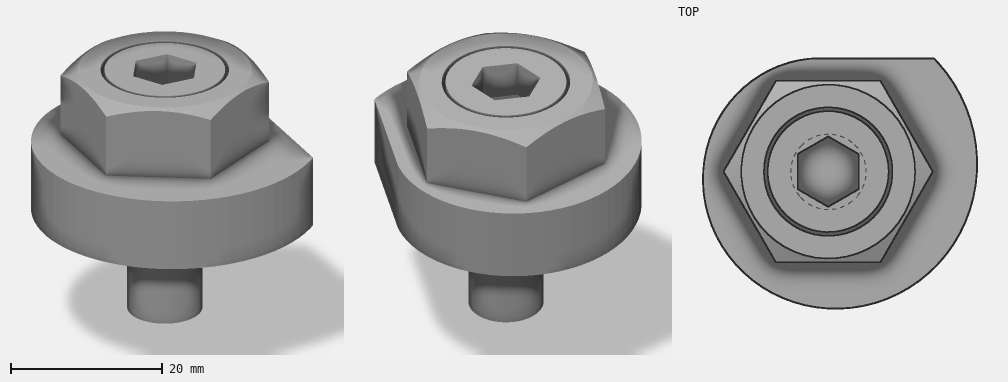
import cadquery as cq
import math


total_height = 35.0
shank_projection = 15.0
cam_height = 10.0
hex_height = total_height - shank_projection - cam_height
top_z = cam_height + hex_height

cam_start_radius = 15.0
cam_rise_per_turn = 6.28
facet_count = 72

hex_across_flats = 24.0
hex_corner_diameter = hex_across_flats / math.cos(math.radians(30))
hex_top_diameter = 23.02
hex_chamfer_angle = 30

shank_diameter = 10.0
head_diameter = 16.0
head_height = hex_height
head_clearance = 0.5
counterbore_diameter = head_diameter + 2 * head_clearance
socket_across_flats = 8.05
socket_corner_diameter = socket_across_flats / math.cos(math.radians(30))
socket_depth = 5.0


def cam_point(step):
    """Spiral corner, counted counterclockwise from +Y."""
    turn = step / facet_count
    radius = cam_start_radius + cam_rise_per_turn * turn
    angle = 2 * math.pi * turn
    return (-radius * math.sin(angle), radius * math.cos(angle))


def make_cam_plate():
    outline = [cam_point(step) for step in range(facet_count + 1)]
    plate = cq.Workplane("XY").polyline(outline).close().extrude(cam_height)
    reach = 2 * (cam_start_radius + cam_rise_per_turn)
    flat_cutter = cq.Workplane("XY").box(reach, reach, cam_height, centered=(True, False, False))
    return plate.cut(flat_cutter.translate((0, cam_start_radius, 0)))


def make_hex_grip():
    grip = (
        cq.Workplane("XY")
        .workplane(offset=cam_height)
        .polygon(6, hex_corner_diameter)
        .extrude(hex_height)
    )
    top_radius = hex_top_diameter / 2
    outer_radius = hex_corner_diameter
    cone_drop = (outer_radius - top_radius) * math.tan(math.radians(hex_chamfer_angle))
    bevel_envelope = (
        cq.Workplane("XZ")
        .polyline([
            (0, 0),
            (outer_radius, 0),
            (outer_radius, top_z - cone_drop),
            (top_radius, top_z),
            (0, top_z),
        ])
        .close()
        .revolve()
    )
    return grip.intersect(bevel_envelope)


def make_cam():
    body = make_cam_plate().union(make_hex_grip())
    return (
        body.faces(">Z")
        .workplane(origin=(0, 0, top_z))
        .cboreHole(shank_diameter, counterbore_diameter, head_height)
    )


def make_screw():
    shank_length = shank_projection + cam_height
    shank = (
        cq.Workplane("XY")
        .workplane(offset=-shank_projection)
        .circle(shank_diameter / 2)
        .extrude(shank_length)
    )
    head = (
        cq.Workplane("XY")
        .workplane(offset=top_z - head_height)
        .circle(head_diameter / 2)
        .extrude(head_height)
    )
    socket = (
        cq.Workplane("XY")
        .polygon(6, socket_corner_diameter)
        .extrude(socket_depth)
        .rotate((0, 0, 0), (0, 0, 1), 90)
        .translate((0, 0, top_z - socket_depth))
    )
    return shank.union(head).cut(socket)


cam = make_cam()
screw = make_screw()

result = cq.Compound.makeCompound([cam.solids().val(), screw.solids().val()])